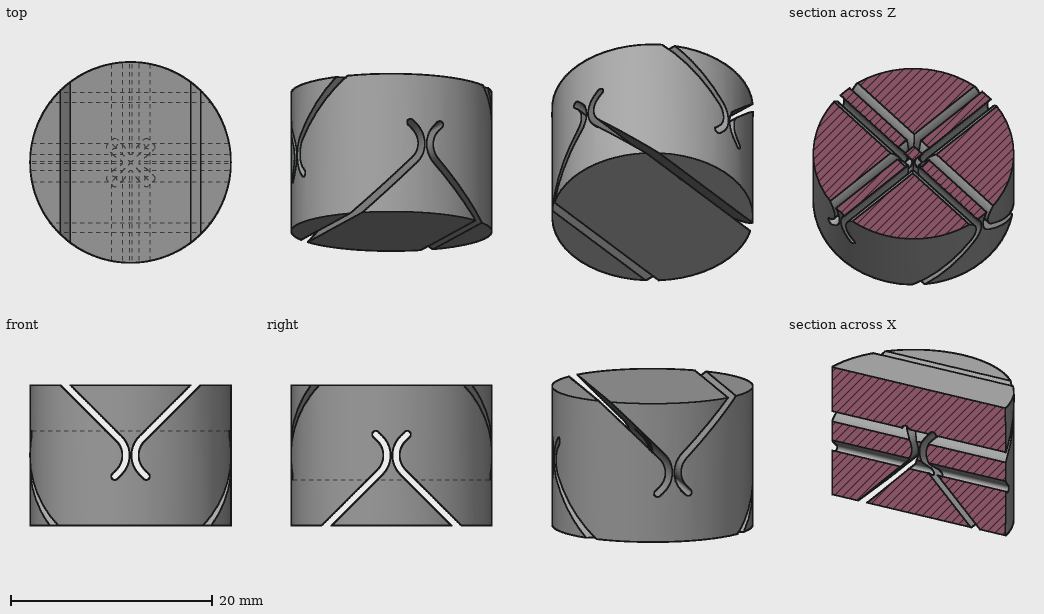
import cadquery as cq
import math

diameter = 20.0
height = 14.0
slot_width = 0.7
bridge_width = 0.2
inner_radius = 2.0
tail_length = 0.6
overrun = 1.0

half_width = slot_width / 2
outer_radius = inner_radius + slot_width
mid_radius = inner_radius + half_width
bend_center_x = bridge_width / 2 + outer_radius
bend_center_z = height / 2
diagonal = math.sqrt(0.5)
mouth_run = (height + overrun - bend_center_z - mid_radius * diagonal) / diagonal
cutter_depth = diameter + 2 * overrun


def bend_point(radius, direction, run=0.0):
    """Point leaving the bend at 45 degrees, up (+1) or down (-1), after a straight run."""
    x = bend_center_x + (run - radius) * diagonal
    z = bend_center_z + direction * (radius + run) * diagonal
    return (x, z)


def make_slot():
    """Cutter along Y for one slot: open 45 degree leg, quarter bend and round-ended tail."""
    return (
        cq.Workplane("XZ")
        .moveTo(*bend_point(outer_radius, 1, mouth_run))
        .lineTo(*bend_point(outer_radius, 1))
        .threePointArc(
            (bend_center_x - outer_radius, bend_center_z),
            bend_point(outer_radius, -1),
        )
        .lineTo(*bend_point(outer_radius, -1, tail_length))
        .threePointArc(
            bend_point(mid_radius, -1, tail_length + half_width),
            bend_point(inner_radius, -1, tail_length),
        )
        .lineTo(*bend_point(inner_radius, -1))
        .threePointArc(
            (bend_center_x - inner_radius, bend_center_z),
            bend_point(inner_radius, 1),
        )
        .lineTo(*bend_point(inner_radius, 1, mouth_run))
        .close()
        .extrude(cutter_depth / 2, both=True)
    )


right_slot = make_slot()
top_slots = [right_slot, right_slot.mirror("YZ")]

body = cq.Workplane("XY").circle(diameter / 2).extrude(height)
for slot in top_slots:
    bottom_slot = slot.rotate((0, 0, 0), (0, 0, 1), 90).mirror("XY", (0, 0, height / 2))
    body = body.cut(slot).cut(bottom_slot)

result = body